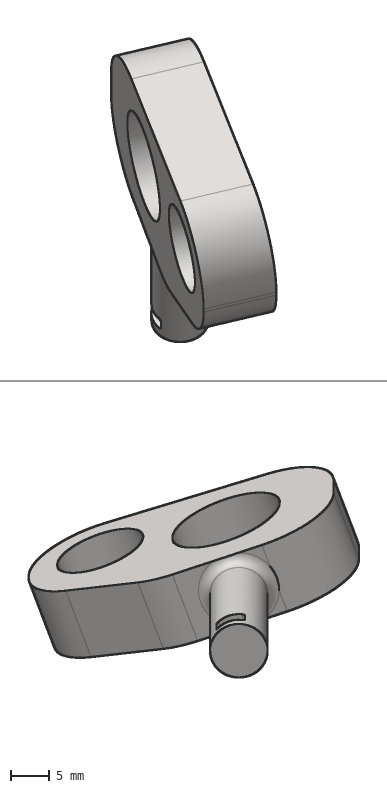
import cadquery as cq
import math


plate_thickness = 10.0
corner_radius = 10.0
edge_left = -15.0
edge_bottom = -13.0
edge_right = 27.58
edge_top = 13.17
left_flat_height = 4.65
right_flat_height = 0.65
bottom_corner_x = 7.5

main_hole_diameter = 15.0
side_hole_diameter = 12.0
side_hole_x = edge_right - corner_radius
side_hole_z = 3.86

stem_diameter = 7.6
stem_length = 21.5
stem_fillet_radius = 1.5
stem_end_z = edge_bottom - stem_length
stem_overlap = 1.0

slot_width = 4.0
slot_height = 2.0
slot_corner_radius = 0.4
slot_end_margin = 1.5
slot_center_z = stem_end_z + slot_end_margin + slot_height / 2


def make_plate():
    """Five equally rounded corners joined by their common tangents."""
    left_x = edge_left + corner_radius
    right_x = edge_right - corner_radius
    bottom_z = edge_bottom + corner_radius
    top_z = edge_top - corner_radius
    corner_centers = [
        (left_x, bottom_z),
        (bottom_corner_x, bottom_z),
        (right_x, top_z - right_flat_height),
        (right_x, top_z),
        (left_x, bottom_z + left_flat_height),
    ]
    return (
        cq.Workplane("XZ")
        .polyline(corner_centers)
        .close()
        .offset2D(corner_radius)
        .extrude(plate_thickness / 2, both=True)
    )


def make_stem():
    """Round stem whose top flares into the plate, trimmed flush with the plate faces."""
    radius = stem_diameter / 2
    flare_radius = radius + stem_fillet_radius
    flare_start_z = edge_bottom - stem_fillet_radius
    top_z = edge_bottom + stem_overlap
    arc_offset = stem_fillet_radius * math.sin(math.pi / 4)
    arc_middle = (flare_radius - arc_offset, flare_start_z + arc_offset)
    stem = (
        cq.Workplane("XZ")
        .moveTo(0, stem_end_z)
        .lineTo(radius, stem_end_z)
        .lineTo(radius, flare_start_z)
        .threePointArc(arc_middle, (flare_radius, edge_bottom))
        .lineTo(flare_radius, top_z)
        .lineTo(0, top_z)
        .close()
        .revolve(360, (0, 0), (0, 1))
    )
    slab_between_faces = cq.Workplane("XY", origin=(0, 0, stem_end_z)).box(
        2 * flare_radius,
        plate_thickness,
        stem_length + stem_overlap,
        centered=(True, True, False),
    )
    return stem.intersect(slab_between_faces)


def make_hole(diameter, x, z):
    """Cylinder that cuts through the plate along Y."""
    return (
        cq.Workplane("XZ")
        .center(x, z)
        .circle(diameter / 2)
        .extrude(plate_thickness, both=True)
    )


def make_slot():
    """Rounded rectangular bar that cuts through the stem along Y."""
    return (
        cq.Workplane("XZ")
        .center(0, slot_center_z)
        .rect(slot_width, slot_height)
        .extrude(stem_diameter, both=True)
        .edges("|Y")
        .fillet(slot_corner_radius)
    )


result = make_plate().union(make_stem())
result = result.cut(make_hole(main_hole_diameter, 0, 0))
result = result.cut(make_hole(side_hole_diameter, side_hole_x, side_hole_z))
result = result.cut(make_slot())